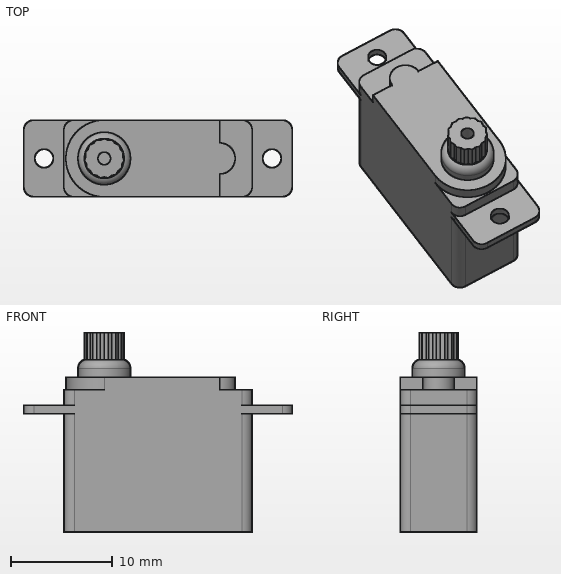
import cadquery as cq
import math

width = 7.6
case_length = 18.65
case_height = 14.1
corner_radius = 1.0

flange_length = 26.6
flange_bottom = 11.7
flange_thickness = 0.88
hole_offset = 11.28
hole_diameter = 1.8

cap_height = 1.25
cap_top = case_height + cap_height
cap_end_x = 6.1
cap_tongue_radius = 1.55

shaft_x = -5.32
boss_radius = 2.6
boss_straight_height = 0.85
boss_dome_height = 0.88
boss_height = boss_straight_height + boss_dome_height
shaft_bottom = cap_top + boss_height
shaft_top = 19.75
shaft_height = shaft_top - shaft_bottom
tooth_count = 15
tooth_tip_radius = 1.97
tooth_root_radius = 1.84
screw_hole_diameter = 1.25


def rounded_block(length, bottom, height):
    """Block across the full width with rounded vertical corners."""
    block = cq.Workplane("XY").workplane(offset=bottom).rect(length, width).extrude(height)
    return block.edges("|Z").fillet(corner_radius)


def make_flange():
    flange = rounded_block(flange_length, flange_bottom, flange_thickness)
    return (
        flange.faces(">Z").workplane(origin=(0, 0, 0))
        .pushPoints([(-hole_offset, 0), (hole_offset, 0)])
        .hole(hole_diameter)
    )


def make_cap():
    """Plate with a full-width round end and a small round tongue opposite."""
    half_width = width / 2
    return (
        cq.Workplane("XY").workplane(offset=case_height)
        .moveTo(shaft_x, -half_width)
        .lineTo(cap_end_x, -half_width)
        .lineTo(cap_end_x, -cap_tongue_radius)
        .threePointArc((cap_end_x + cap_tongue_radius, 0), (cap_end_x, cap_tongue_radius))
        .lineTo(cap_end_x, half_width)
        .lineTo(shaft_x, half_width)
        .threePointArc((shaft_x - half_width, 0), (shaft_x, -half_width))
        .close().extrude(cap_height)
    )


def make_boss():
    """Round boss whose domed shoulder ends at the spline tips."""
    profile = (
        cq.Workplane("XZ")
        .lineTo(boss_radius, 0)
        .lineTo(boss_radius, boss_straight_height)
        .tangentArcPoint((tooth_tip_radius, boss_height), relative=False)
        .lineTo(0, boss_height)
        .close()
    )
    boss = profile.revolve(360, (0, 0, 0), (0, 1, 0))
    return boss.translate((shaft_x, 0, cap_top))


def make_shaft():
    """Shaft with V-shaped teeth, one tip pointing along +Y, and a centre hole."""
    points = []
    for i in range(2 * tooth_count):
        radius = tooth_tip_radius if i % 2 == 0 else tooth_root_radius
        angle = math.pi / 2 + i * math.pi / tooth_count
        points.append((radius * math.cos(angle), radius * math.sin(angle)))
    shaft = cq.Workplane("XY").polyline(points).close().extrude(shaft_height)
    shaft = shaft.faces(">Z").workplane(origin=(0, 0, 0)).hole(screw_hole_diameter)
    return shaft.translate((shaft_x, 0, shaft_bottom))


case = rounded_block(case_length, 0, case_height)
result = case.union(make_flange()).union(make_cap()).union(make_boss()).union(make_shaft())